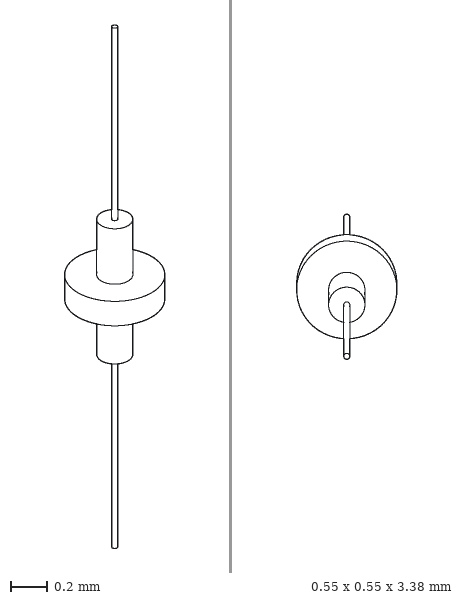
import cadquery as cq

wire_length = 3.38
wire_diameter = 0.035
sleeve_length = 0.88
sleeve_diameter = 0.2
flange_thickness = 0.16
flange_diameter = 0.55


def centred_cylinder(diameter, length):
    """Cylinder along Z, centred on the origin."""
    return cq.Workplane("XY").workplane(offset=-length / 2).circle(diameter / 2).extrude(length)


wire = centred_cylinder(wire_diameter, wire_length)
sleeve = centred_cylinder(sleeve_diameter, sleeve_length)
flange = centred_cylinder(flange_diameter, flange_thickness)

result = flange.union(sleeve).union(wire)